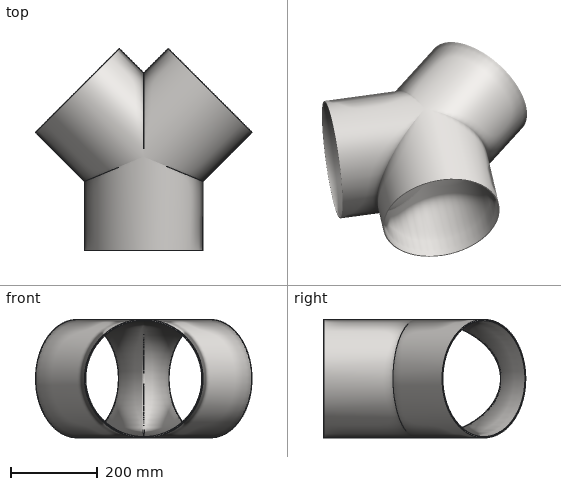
import cadquery as cq
import math

outer_diameter = 273.0
wall_thickness = 3.0
leg_length = 216.0
inner_crotch_radius = 5.0
outer_crotch_radius = 1.0

full_turn = 360.0
right_branch_angle = 45.0
left_branch_angle = 135.0
inlet_angle = 270.0

crotch_mitre = (right_branch_angle + left_branch_angle) / 2
left_mitre = (left_branch_angle + inlet_angle) / 2
right_mitre = (inlet_angle + right_branch_angle + full_turn) / 2

legs = (
    (right_branch_angle, right_mitre - full_turn, crotch_mitre),
    (left_branch_angle, crotch_mitre, left_mitre),
    (inlet_angle, left_mitre, right_mitre),
)

outer_radius = outer_diameter / 2
inner_radius = outer_radius - wall_thickness
wedge_reach = 4 * leg_length
edge_tolerance = 0.01


def direction(angle):
    """Unit vector in the XY plane at the given angle in degrees."""
    return cq.Vector(math.cos(math.radians(angle)), math.sin(math.radians(angle)), 0)


def mitre_wedge(start_angle, middle_angle, end_angle):
    """Wedge between two mitre planes, large enough to hold a whole leg."""
    corners = [direction(angle) * wedge_reach for angle in (start_angle, middle_angle, end_angle)]
    outline = [(0, 0)] + [(corner.x, corner.y) for corner in corners]
    return cq.Workplane("XY").polyline(outline).close().extrude(outer_diameter, both=True)


def mitred_legs(radius):
    """Three solid cylinders, each cut at the mitre planes it shares with its neighbours."""
    mitred = []
    for angle, start_mitre, end_mitre in legs:
        start = direction(angle) * -leg_length
        cylinder = cq.Solid.makeCylinder(radius, 2 * leg_length, start, direction(angle))
        leg = mitre_wedge(start_mitre, angle, end_mitre).intersect(cq.Workplane(cylinder))
        mitred.append(leg)
    right_branch, left_branch, inlet = mitred
    return right_branch.union(left_branch).union(inlet)


def round_crotch(body, pipe_radius, fillet_radius):
    """Fillet the seam in the plane X = 0 where the branch surfaces of the given radius meet."""
    half_spread = math.radians(left_branch_angle - right_branch_angle) / 2
    seam_reach = pipe_radius / math.sin(half_spread)
    seam = []
    for edge in body.edges().vals():
        box = edge.BoundingBox()
        lies_in_plane = box.xlen < edge_tolerance
        if lies_in_plane and abs(box.ymax - seam_reach) < edge_tolerance:
            seam.append(edge)
    return body.newObject(seam).fillet(fillet_radius)


fitting = mitred_legs(outer_radius).cut(mitred_legs(inner_radius))
fitting = round_crotch(fitting, inner_radius, inner_crotch_radius)
result = round_crotch(fitting, outer_radius, outer_crotch_radius)